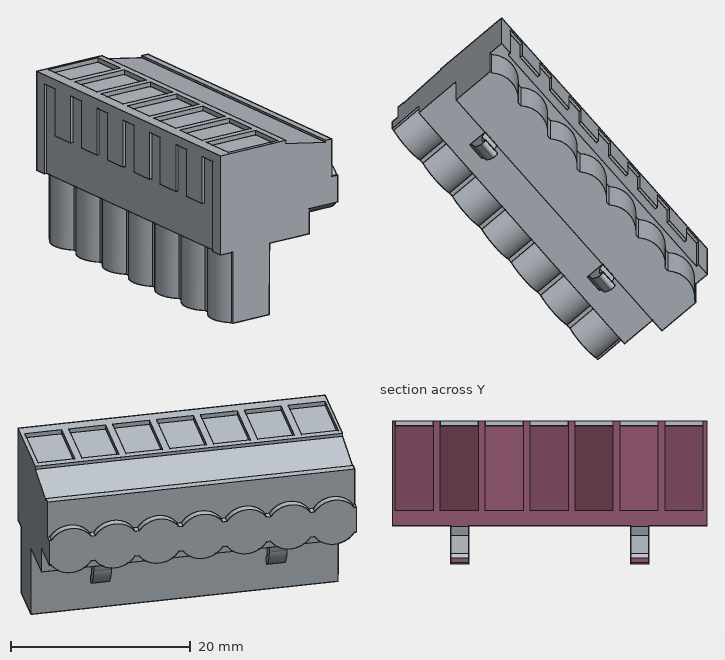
import cadquery as cq
import math


pole_count = 7
length = 35.0
pitch = length / pole_count
pole_centres = [(i - (pole_count - 1) / 2) * pitch for i in range(pole_count)]
pole_gaps = [(i - (pole_count - 2) / 2) * pitch for i in range(pole_count - 1)]
barrel_chord = 4.5

height = 20.1
shoulder_z = 8.4
deck_depth = 8.95
deck_step = 0.4
lip_front_y = 14.42
lip_z = height - 1.12
slope_end_z = height - 1.35
back_y = 15.25
lower_back_y = 12.18

skirt_front_y = 1.68
skirt_rear_top_y = 6.75
skirt_rear_base_y = 6.7
skirt_bulge = 0.98

rear_y = 16.1
barrel_z = height - 7.15
rail_half_height = 1.58
barrel_bulge = 1.22
barrel_half_height = rail_half_height + barrel_bulge

recess_depth = 0.3
recess_top_z = height - 1.1
tooth_bottom_z = height - 6.6
tooth_width = 2.98
recess_length = length - tooth_width

pocket_width = 4.2
pocket_front_y = 1.4
pocket_length = 6.8
pocket_shift_x = -0.07
pocket_depth = 0.52
clamp_top_z = height - pocket_depth
clamp_bottom_z = barrel_z - barrel_half_height

hook_width = 2.03
hook_centres = [pole_centres[1], pole_centres[-2]]
hook_root_rear_y = 10.3
hook_root_front_y = 8.0
hook_flare_y = 10.05
hook_flare_z = shoulder_z - 0.45
hook_bend_y = 9.7
hook_bend_z = shoulder_z - 2.0
hook_curve_y = 9.3
hook_curve_z = shoulder_z - 3.22
hook_neck_y = 8.47
hook_neck_top_z = shoulder_z - 1.05
hook_neck_base_z = shoulder_z - 3.05
hook_tip_y = 8.35
hook_tip_z = shoulder_z - 3.8
hook_tip_radius = 0.42
hook_tip_start_angle = -45
hook_tip_end_angle = -213
hook_tip_middle_angle = (hook_tip_start_angle + hook_tip_end_angle) / 2


def box(x_size, y_start, y_end, z_start, z_end, x_centre=0.0):
    """Block centred on x_centre, between the given Y and Z limits."""
    block = cq.Workplane("XY").box(x_size, y_end - y_start, z_end - z_start, centered=(True, False, False))
    return block.translate((x_centre, y_start, z_start))


def extrude_along_x(outline, x_size):
    """Solid from a closed Y-Z outline, centred in X."""
    return outline.close().extrude(x_size / 2, both=True)


def main_body():
    """Block above the shoulder, with the deck, sloping roof and rear lip."""
    outline = (
        cq.Workplane("YZ")
        .moveTo(0, shoulder_z)
        .lineTo(0, height)
        .lineTo(deck_depth, height)
        .lineTo(deck_depth, height - deck_step)
        .lineTo(lip_front_y, slope_end_z)
        .lineTo(lip_front_y, lip_z)
        .lineTo(back_y, lip_z)
        .lineTo(back_y, barrel_z)
        .lineTo(lower_back_y, barrel_z)
        .lineTo(lower_back_y, shoulder_z)
    )
    return extrude_along_x(outline, length)


def skirt():
    """Plug wall below the shoulder, with a slightly tapered rear face."""
    outline = (
        cq.Workplane("YZ")
        .moveTo(skirt_front_y, 0)
        .lineTo(skirt_front_y, shoulder_z)
        .lineTo(skirt_rear_top_y, shoulder_z)
        .lineTo(skirt_rear_base_y, 0)
    )
    return extrude_along_x(outline, length)


def skirt_column(x):
    """Round front of one pole, standing out of the skirt."""
    half_chord = barrel_chord / 2
    return (
        cq.Workplane("XY")
        .moveTo(x - half_chord, skirt_front_y)
        .threePointArc((x, skirt_front_y - skirt_bulge), (x + half_chord, skirt_front_y))
        .lineTo(x + half_chord, skirt_rear_base_y)
        .lineTo(x - half_chord, skirt_rear_base_y)
        .close()
        .extrude(shoulder_z)
    )


def rear_rail():
    """Full-length bar that joins the screw barrels."""
    return box(length, lower_back_y, rear_y, barrel_z - rail_half_height, barrel_z + rail_half_height)


def screw_barrel(x):
    """Barrel along Y with flat sides and a round top and underside."""
    half_chord = barrel_chord / 2
    return (
        cq.Workplane("XZ", origin=(x, rear_y, barrel_z))
        .moveTo(-half_chord, -rail_half_height)
        .lineTo(-half_chord, rail_half_height)
        .threePointArc((0, barrel_half_height), (half_chord, rail_half_height))
        .lineTo(half_chord, -rail_half_height)
        .threePointArc((0, -barrel_half_height), (-half_chord, -rail_half_height))
        .close()
        .extrude(rear_y - lower_back_y)
    )


def front_recess():
    """Shallow cut in the front face, with teeth hanging into it between the poles."""
    cut = box(recess_length, 0, recess_depth, shoulder_z, recess_top_z)
    for x in pole_gaps:
        cut = cut.cut(box(tooth_width, 0, recess_depth, tooth_bottom_z, recess_top_z, x))
    return cut


def hook_tip_point(angle):
    """Y-Z point on the round tip, at an angle in degrees from +Y toward +Z."""
    turn = math.radians(angle)
    return (hook_tip_y + hook_tip_radius * math.cos(turn), hook_tip_z + hook_tip_radius * math.sin(turn))


def latch_hook(x):
    """Hook that hangs from the shoulder and curls forward to a round tip."""
    outline = (
        cq.Workplane("YZ", origin=(x, 0, 0))
        .moveTo(hook_root_rear_y, shoulder_z)
        .lineTo(hook_flare_y, hook_flare_z)
        .lineTo(hook_bend_y, hook_bend_z)
        .threePointArc((hook_curve_y, hook_curve_z), hook_tip_point(hook_tip_start_angle))
        .threePointArc(hook_tip_point(hook_tip_middle_angle), hook_tip_point(hook_tip_end_angle))
        .lineTo(hook_neck_y, hook_neck_base_z)
        .lineTo(hook_neck_y, hook_neck_top_z)
        .lineTo(hook_root_front_y, shoulder_z)
    )
    return extrude_along_x(outline, hook_width)


def pocket_block(x, top_z):
    """Block of one pocket's section, from the pocket floor up to top_z."""
    pocket_rear_y = pocket_front_y + pocket_length
    return box(pocket_width, pocket_front_y, pocket_rear_y, clamp_bottom_z, top_z, x + pocket_shift_x)


def clamp_block(x):
    """Clamp filling its pocket, with its top sunk below the deck."""
    return pocket_block(x, clamp_top_z)


def make_housing():
    """Housing with its barrels and hooks, open at the front recess and the top pockets."""
    body = main_body().union(skirt()).union(rear_rail())
    for x in pole_centres:
        body = body.union(skirt_column(x)).union(screw_barrel(x))
    for x in hook_centres:
        body = body.union(latch_hook(x))
    body = body.cut(front_recess())
    for x in pole_centres:
        body = body.cut(pocket_block(x, height))
    return body


housing = make_housing()
clamps = [clamp_block(x) for x in pole_centres]

result = cq.Compound.makeCompound([housing.val(), *[clamp.val() for clamp in clamps]])